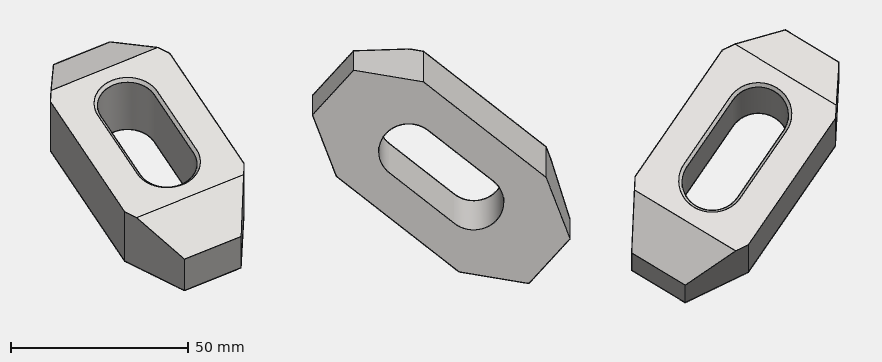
import cadquery as cq
import math

length = 80.0
width = 38.0
height = 22.0

taper_angle = math.radians(30)
end_width = 18.0
end_height = 14.0
side_taper_length = (width - end_width) / 2 / math.tan(taper_angle)
top_taper_length = (height - end_height) / math.tan(taper_angle)

slot_width = 17.0
slot_center_distance = 24.0
slot_length = slot_center_distance + slot_width
slot_chamfer = 1.0


def make_plan_body():
    """Full-height octagonal block, narrowed towards both X ends."""
    half_length = length / 2
    half_width = width / 2
    half_end = end_width / 2
    shoulder = half_length - side_taper_length
    outline = [
        (-half_length, -half_end),
        (-shoulder, -half_width),
        (shoulder, -half_width),
        (half_length, -half_end),
        (half_length, half_end),
        (shoulder, half_width),
        (-shoulder, half_width),
        (-half_length, half_end),
    ]
    return cq.Workplane("XY").polyline(outline).close().extrude(height)


def make_side_profile():
    """Block with both top ends sloped down, spanning the full width."""
    half_length = length / 2
    half_top = half_length - top_taper_length
    outline = [
        (-half_length, 0),
        (half_length, 0),
        (half_length, end_height),
        (half_top, height),
        (-half_top, height),
        (-half_length, end_height),
    ]
    return cq.Workplane("XZ").polyline(outline).close().extrude(width / 2, both=True)


def make_slot_cutter():
    """Through slot that widens at the top to form the rim chamfer."""
    slot = cq.Workplane("XY").slot2D(slot_length, slot_width).extrude(height)
    rim = (
        cq.Workplane("XY")
        .workplane(offset=height)
        .slot2D(slot_length + 2 * slot_chamfer, slot_width + 2 * slot_chamfer)
        .extrude(-slot_chamfer, taper=math.degrees(math.atan(1)))
    )
    return slot.union(rim)


body = make_plan_body().intersect(make_side_profile())
result = body.cut(make_slot_cutter())